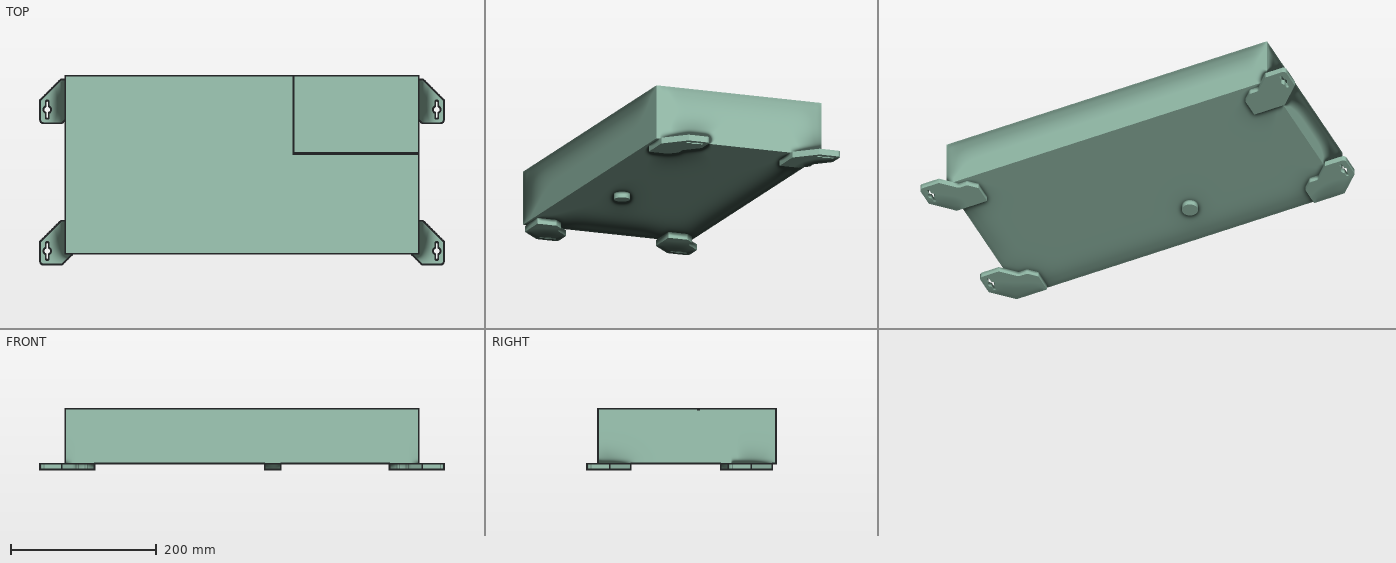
import cadquery as cq

overall_length = 555.0
overall_depth = 260.0
overall_height = 84.0
plate_thickness = 8.5
body_length = 486.0
body_depth = 245.0
body_height = overall_height - plate_thickness
body_front = overall_depth - body_depth

cover_length = 172.0
cover_depth = 106.0
front_gap = 1.5
side_gap = 0.5
groove_depth = 1.5

plate_length = 75.0
plate_depth = 60.5
plate_pitch = 194.0
outer_chamfer = 29.0
front_edge_length = 30.0
first_step = 20.5
ledge_length = 13.0
corner_radius = 5.0

keyhole_diameter = 10.0
slot_width = 4.0
slot_length = 25.0
keyhole_from_side = 10.0
keyhole_from_front = 19.0

foot_diameter = 22.0
foot_x = 42.0
foot_from_rear = 65.0


def make_body():
    return cq.Workplane("XY").box(
        body_length, body_depth, body_height, centered=(True, False, False)
    ).translate((0, body_front, plate_thickness))


def top_panel(length, depth):
    """Slab level with the top face, filling its rear right corner."""
    return cq.Workplane("XY").box(length, depth, groove_depth, centered=False).translate((
        body_length / 2 - length,
        overall_depth - depth,
        overall_height - groove_depth,
    ))


def make_cover_groove():
    """L-shaped groove along the front and left edges of the access cover."""
    opening = top_panel(cover_length + side_gap, cover_depth + front_gap)
    return opening.cut(top_panel(cover_length, cover_depth))


def make_left_plate():
    """Left plate with its front outer corner at the origin."""
    ledge_end = front_edge_length + first_step + ledge_length
    second_step = plate_length - ledge_end
    outline = [
        (0, 0),
        (front_edge_length, 0),
        (front_edge_length + first_step, first_step),
        (ledge_end, first_step),
        (plate_length, first_step + second_step),
        (plate_length, plate_depth),
        (outer_chamfer, plate_depth),
        (0, plate_depth - outer_chamfer),
    ]
    plate = cq.Workplane("XY").polyline(outline).close().extrude(plate_thickness)
    front_corner, ledge_start_corner, ledge_end_corner = outline[0], outline[2], outline[3]
    for x, y in (front_corner, ledge_start_corner, ledge_end_corner):
        corner = cq.selectors.NearestToPointSelector((x, y, plate_thickness / 2))
        plate = plate.edges("|Z").edges(corner).fillet(corner_radius)
    keyhole = cq.Workplane("XY").circle(keyhole_diameter / 2).extrude(plate_thickness)
    slot = cq.Workplane("XY").slot2D(slot_length, slot_width, 90).extrude(plate_thickness)
    return plate.cut(keyhole.union(slot).translate((keyhole_from_side, keyhole_from_front, 0)))


def make_foot():
    return (
        cq.Workplane("XY")
        .center(foot_x, overall_depth - foot_from_rear)
        .circle(foot_diameter / 2)
        .extrude(plate_thickness)
    )


result = make_body().cut(make_cover_groove()).union(make_foot())
left_plate = make_left_plate().translate((-overall_length / 2, 0, 0))
for plate_y in (0, plate_pitch):
    plate = left_plate.translate((0, plate_y, 0))
    result = result.union(plate).union(plate.mirror("YZ"))